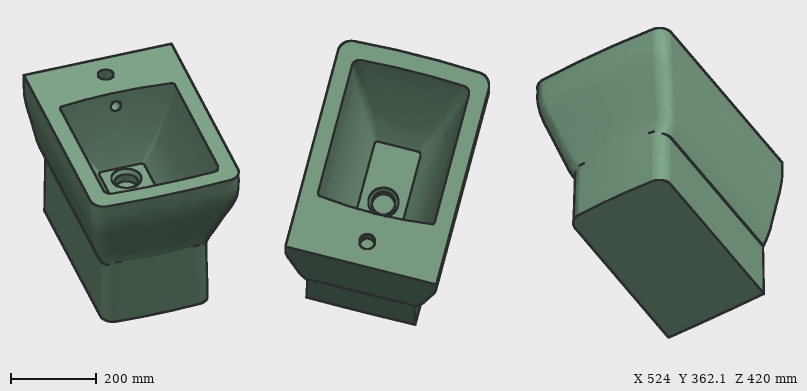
import cadquery as cq

height = 420.0
back_bulge = 1.0
bowl_front = 524 - back_bulge
bowl_half_width = 181.0
bowl_front_sag = 7.0
bowl_corner_radius = 32.5

pedestal_height = 174.0
pedestal_top_half_width = 128.5
pedestal_base_half_width = 131
pedestal_top_front = 439.0
pedestal_base_front = 443.0
pedestal_front_sag = 5
pedestal_corner_radius = 31.5

bowl_sections = [
    (164.0, 130.0, pedestal_top_front),
    (180.5, 137.0, 440.5),
    (199, 144.5, 446.0),
    (235.5, 154.0, 464.0),
    (304, 169.5, 498.0),
    (340.5, 177.5, 515.0),
    (366.5, 180.5, 521.5),
    (393, bowl_half_width, bowl_front),
    (height, bowl_half_width, bowl_front),
]

rim_half_width = 140.5
rim_back = 138.5
rim_front = 476.5
rim_back_sag = 9.5
rim_front_sag = 4.5
rim_back_radius = 8.0
rim_front_radius = 18.5
middle_half_width = 107.5
middle_back = 150.0
middle_front = 429.5
middle_sag = 3.0
middle_level = 309
floor_half_width = 55.5
floor_back = 169.0
floor_front = 347.5
floor_sag = 0.5
floor_radius = 8.0
basin_floor = 225

tap_x = 59.0
tap_radius = 18.5
tap_depth = 42
drain_x = 209.5
drain_mouth_radius = 35.0
drain_radius = 27.0
drain_taper_depth = 10.5
drain_depth = 31.5
overflow_radius = 12.5
overflow_level = height - 36.5
overflow_start = 105
overflow_length = 52.5


def bowed_outline(level, back, front, half_width, back_sag, front_sag, back_radius, front_radius):
    """Rectangle with outward-bowed ends and rounded corners, as a wire at a level."""
    back_right = (back, -half_width)
    plate = (
        cq.Workplane("XY")
        .moveTo(*back_right)
        .lineTo(front, -half_width)
        .threePointArc((front + front_sag, 0), (front, half_width))
        .lineTo(back, half_width)
    )
    if back_sag:
        plate = plate.threePointArc((back - back_sag, 0), back_right)
    plate = plate.close().extrude(5)
    for end_x, radius in ((back, back_radius), (front, front_radius)):
        if radius:
            corner_box = cq.selectors.BoxSelector(
                (end_x - 0.5, -half_width - 5, -5), (end_x + 0.5, half_width + 5, 10.5)
            )
            plate = plate.edges("|Z").edges(corner_box).fillet(radius)
    return plate.faces("<Z").wires().val().translate(cq.Vector(0, 0, level))


def loft_sections(*wires):
    return cq.Workplane(cq.Solid.makeLoft(list(wires)))


def make_bowl():
    """Body widening upward through bowed outlines, vertical again near the rim."""
    outlines = [
        bowed_outline(
            level, 0, front - bowl_front_sag, half_width,
            0, bowl_front_sag, 0, bowl_corner_radius,
        )
        for level, half_width, front in bowl_sections
    ]
    return loft_sections(*outlines)


def make_pedestal():
    """Slightly flared foot with a bulging back and a bowed front."""
    base = bowed_outline(
        0, 0, pedestal_base_front - pedestal_front_sag, pedestal_base_half_width,
        back_bulge, pedestal_front_sag, 0, pedestal_corner_radius,
    )
    top = bowed_outline(
        pedestal_height, 0, pedestal_top_front - pedestal_front_sag, pedestal_top_half_width,
        back_bulge, pedestal_front_sag, 0, pedestal_corner_radius,
    )
    return loft_sections(base, top)


def make_basin():
    """Hollow curving inward from the rim to a small flat floor."""
    rim = bowed_outline(
        height, rim_back, rim_front, rim_half_width,
        rim_back_sag, rim_front_sag, rim_back_radius, rim_front_radius,
    )
    middle = bowed_outline(
        middle_level, middle_back, middle_front, middle_half_width,
        middle_sag, middle_sag, rim_back_radius, rim_front_radius,
    )
    floor = bowed_outline(
        basin_floor, floor_back, floor_front, floor_half_width,
        floor_sag, floor_sag, floor_radius, floor_radius,
    )
    return loft_sections(floor, middle, rim)


def make_drain():
    """Blind outlet with a tapered mouth in the basin floor."""
    profile = [
        (0, basin_floor),
        (drain_mouth_radius, basin_floor),
        (drain_radius, basin_floor - drain_taper_depth),
        (drain_radius, basin_floor - drain_depth),
        (0, basin_floor - drain_depth),
    ]
    drain = cq.Workplane("XZ").polyline(profile).close().revolve(360, (0, 0), (0, 1))
    return drain.translate((drain_x, 0, 0))


tap_hole = (
    cq.Workplane("XY", origin=(tap_x, 0, height - tap_depth)).circle(tap_radius).extrude(tap_depth)
)
overflow_hole = (
    cq.Workplane("YZ", origin=(overflow_start, 0, overflow_level))
    .circle(overflow_radius)
    .extrude(overflow_length)
)

result = (
    make_bowl()
    .union(make_pedestal())
    .cut(make_basin())
    .cut(make_drain())
    .cut(tap_hole)
    .cut(overflow_hole)
)